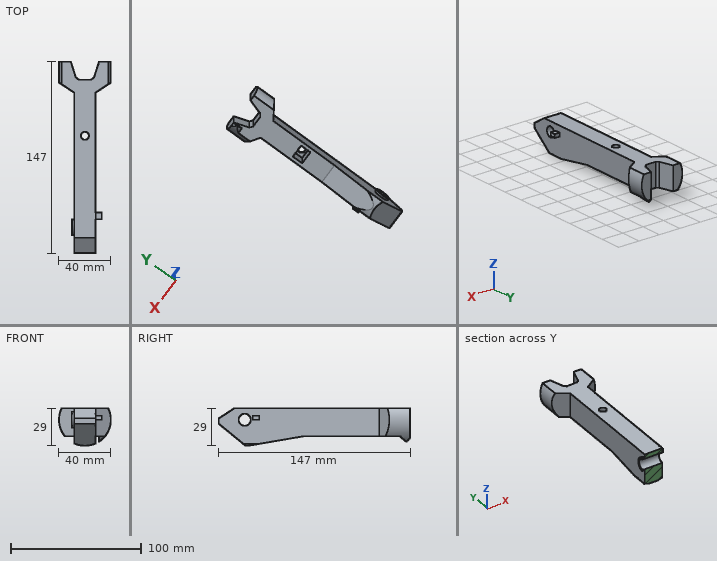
import cadquery as cq

length = 147.0
envelope_radius = 20.0
top_z = 9.0
arm_bottom_z = -12.8
half_arm = 8.2

nose_slope_length = 12.0
nose_top_z = 1.0
nose_bottom_z = -3.1
keel_y = 21.0
keel_z = -20.3
keel_start_y = 65.0

fork_root_y = 123.2
fork_shoulder_y = 131.0
mouth_half_width = 10.7
mouth_neck_half_width = 6.9
mouth_neck_depth = 12.0
mouth_floor_half_width = 4.5
mouth_depth = 13.8

tooth_end_z = -13.8
tooth_tip_y = 144.0
tooth_tip_z = -17.0
tooth_root_y = 139.2

bore_y = 20.0
bore_radius = 4.5
collar_radius = 6.0
collar_height = 1.8
peg_start_y = 26.0
peg_length = 5.3
peg_reach = 4.9
peg_bottom_z = -0.1
peg_height = 3.2
pin_hole_y = 90.1
pin_hole_diameter = 6.0

pocket_width = 10.6
pocket_length = 8.8
pocket_roof = 3.2


def side_prism(points, start_x, end_x):
    """Extrude a (Y, Z) outline along X from start_x to end_x."""
    profile = cq.Workplane("YZ", origin=(start_x, 0, 0)).polyline(points).close()
    return profile.extrude(end_x - start_x)


def cross_cylinder(radius, start_x, end_x):
    """Cylinder along X on the cross bore axis."""
    plane = cq.Workplane("YZ", origin=(start_x, 0, 0))
    return plane.center(bore_y, 0).circle(radius).extrude(end_x - start_x)


def make_arm():
    outline = [
        (0, nose_bottom_z),
        (0, nose_top_z),
        (nose_slope_length, top_z),
        (length - mouth_depth, top_z),
        (length - mouth_depth, arm_bottom_z),
        (keel_start_y, arm_bottom_z),
        (keel_y, keel_z),
    ]
    return side_prism(outline, -half_arm, half_arm)


def make_fork():
    right_half = [
        (half_arm, fork_root_y),
        (envelope_radius, fork_shoulder_y),
        (envelope_radius, length),
        (mouth_half_width, length),
        (mouth_neck_half_width, length - mouth_neck_depth),
        (mouth_floor_half_width, length - mouth_depth),
    ]
    left_half = [(-x, y) for x, y in reversed(right_half)]
    outline = cq.Workplane("XY", origin=(0, 0, arm_bottom_z)).polyline(right_half + left_half).close()
    return outline.extrude(top_z - arm_bottom_z)


def make_tooth():
    outline = [
        (length, top_z),
        (length, tooth_end_z),
        (tooth_tip_y, tooth_tip_z),
        (tooth_root_y, arm_bottom_z),
        (tooth_root_y, top_z),
    ]
    return side_prism(outline, mouth_half_width, envelope_radius)


def make_peg():
    size = (peg_reach, peg_length, peg_height)
    peg = cq.Workplane("XY").box(*size, centered=False)
    return peg.translate((half_arm, peg_start_y, peg_bottom_z))


envelope = cq.Workplane("XZ").circle(envelope_radius).extrude(-length)
body = make_arm().union(make_fork()).union(make_tooth()).intersect(envelope)

collar = cross_cylinder(collar_radius, -half_arm - collar_height, 0)
body = body.union(collar).union(make_peg())

bore = cross_cylinder(bore_radius, -half_arm - collar_height, half_arm)
pin_hole = (
    cq.Workplane("XY", origin=(0, pin_hole_y, arm_bottom_z))
    .circle(pin_hole_diameter / 2)
    .extrude(top_z - arm_bottom_z)
)
pocket = (
    cq.Workplane("XY", origin=(0, pin_hole_y, arm_bottom_z))
    .rect(pocket_width, pocket_length)
    .extrude(top_z - pocket_roof - arm_bottom_z)
)
result = body.cut(bore).cut(pin_hole).cut(pocket)